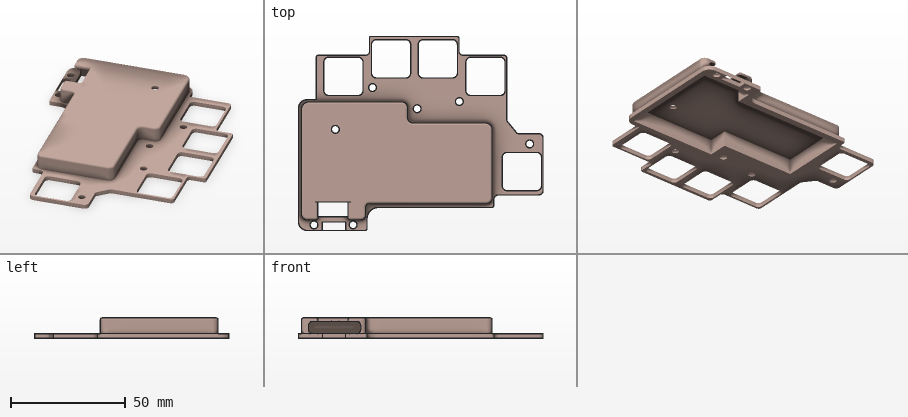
import cadquery as cq

LENGTH = 106.91
DEPTH = 84.79
HEIGHT = 9.0
PLATE_THICKNESS = 2.0

FOOT_RIGHT = 30.07
FRONT_EDGE = 10.05
BODY_RIGHT = 85.4
EAR_FRONT = 15.55
EAR_BACK = 42.4
EAR_SLOPE_START = 95.6
EAR_SLOPE_END = 47.9
SHOULDER_LEFT = 7.8
SHOULDER_RIGHT = 91.1
SHOULDER_BACK = 76.65
TOWER_LEFT = 31.05
TOWER_RIGHT = 70.2
BODY_BACK = 57.25

HOUSING_LEFT = 1.35
HOUSING_FRONT = 4.65
HOUSING_STEP_FRONT = 11.73
HOUSING_BACK = 56.15
HOUSING_STEP_BACK = 46.9
HOUSING_RIGHT = 84.65
HOUSING_STEP_LEFT = 29.4
HOUSING_STEP_RIGHT = 47.7
WALL = 1.5
ROOF = 1.6
CEILING = HEIGHT - ROOF
TOP_FILLET = 1.0

NOTCH_LEFT = 8.58
NOTCH_RIGHT = 21.7
NOTCH_BACK = 12.45
WINDOW_LEFT = 4.4
WINDOW_RIGHT = 27.3
WINDOW_FILLET = 2.0

SLOT_LEFT = 10.5
SLOT_RIGHT = 20.65
SLOT_BACK = 3.7
WEB_THICKNESS = 0.1

KEY_LENGTH = 17.0
KEY_DEPTH = 16.6
KEY_FILLET = 2.0
SHOULDER_KEY_FRONT = 59.05
TOWER_KEY_FRONT = 66.7
KEY_CORNERS = [
    (11.2, SHOULDER_KEY_FRONT),
    (32.0, TOWER_KEY_FRONT),
    (52.4, TOWER_KEY_FRONT),
    (73.2, SHOULDER_KEY_FRONT),
    (89.1, 17.5),
]

HOLE_DIAMETER = 3.3
FOOT_HOLE_Y = 2.5
HOLE_CENTRES = [
    (32.4, 62.45),
    (51.9, 53.2),
    (70.3, 56.35),
    (101.0, 37.85),
    (16.2, 44.2),
    (6.85, FOOT_HOLE_Y),
    (23.95, FOOT_HOLE_Y),
]

PLATE_CORNERS = [
    (0, 0, 4.0),
    (FOOT_RIGHT, 0, 1.0),
    (FOOT_RIGHT, FRONT_EDGE, 4.85),
    (BODY_RIGHT, FRONT_EDGE, 1.0),
    (BODY_RIGHT, EAR_FRONT, 2.0),
    (LENGTH, EAR_FRONT, 2.0),
    (LENGTH, EAR_BACK, 2.0),
    (EAR_SLOPE_START, EAR_BACK, 1.0),
    (SHOULDER_RIGHT, EAR_SLOPE_END, 1.0),
    (SHOULDER_RIGHT, SHOULDER_BACK, 1.5),
    (TOWER_RIGHT, SHOULDER_BACK, 1.5),
    (TOWER_RIGHT, DEPTH, 1.0),
    (TOWER_LEFT, DEPTH, 0.6),
    (TOWER_LEFT, SHOULDER_BACK, 1.5),
    (SHOULDER_LEFT, SHOULDER_BACK, 1.2),
    (SHOULDER_LEFT, BODY_BACK, 0),
    (0, BODY_BACK, 4.0),
]
HOUSING_CORNERS = [
    (HOUSING_LEFT, HOUSING_FRONT, 2.7),
    (HOUSING_STEP_LEFT, HOUSING_FRONT, 2.0),
    (HOUSING_STEP_LEFT, HOUSING_STEP_FRONT, 1.7),
    (HOUSING_RIGHT, HOUSING_STEP_FRONT, 2.5),
    (HOUSING_RIGHT, HOUSING_STEP_BACK, 2.7),
    (HOUSING_STEP_RIGHT, HOUSING_STEP_BACK, 2.5),
    (HOUSING_STEP_RIGHT, HOUSING_BACK, 2.5),
    (HOUSING_LEFT, HOUSING_BACK, 3.4),
]


def rounded_prism(corners, height):
    """Prism standing on z = 0 whose upright edges are rounded one by one."""
    prism = cq.Workplane("XY").polyline([(x, y) for x, y, _ in corners]).close().extrude(height)
    for x, y, radius in corners:
        if radius > 0:
            corner = cq.selectors.NearestToPointSelector((x, y, height / 2))
            prism = prism.edges("|Z").edges(corner).fillet(radius)
    return prism


def block(x_range, y_range, z_range):
    """Box between two limits along each axis."""
    sizes = [high - low for low, high in (x_range, y_range, z_range)]
    corner = (x_range[0], y_range[0], z_range[0])
    return cq.Workplane("XY").box(*sizes, centered=False).translate(corner)


def make_housing():
    """Solid housing, notched at the front of its roof and rounded along its top edges."""
    housing = rounded_prism(HOUSING_CORNERS, HEIGHT)
    notch = block((NOTCH_LEFT, NOTCH_RIGHT), (0, NOTCH_BACK), (CEILING, HEIGHT))
    housing = housing.cut(notch)
    notch_centre_x = (NOTCH_LEFT + NOTCH_RIGHT) / 2
    notch_back_edge = cq.selectors.NearestToPointSelector((notch_centre_x, NOTCH_BACK, HEIGHT))
    top_edges = cq.selectors.DirectionMinMaxSelector(cq.Vector(0, 0, 1))
    notch_mouth = cq.selectors.BoxSelector(
        (NOTCH_LEFT - TOP_FILLET, HOUSING_FRONT - TOP_FILLET, CEILING),
        (NOTCH_RIGHT + TOP_FILLET, HOUSING_FRONT + TOP_FILLET, HEIGHT),
    )
    upright_mouth_edges = notch_mouth & cq.selectors.ParallelDirSelector(cq.Vector(0, 0, 1))
    rounded_edges = (top_edges - notch_back_edge) + upright_mouth_edges
    return housing.edges(rounded_edges).fillet(TOP_FILLET)


def make_pocket():
    """Square-cornered space inside the housing, open through the underside of the plate."""
    outline = cq.Workplane("XY").polyline([(x, y) for x, y, _ in HOUSING_CORNERS]).close()
    return outline.offset2D(-WALL, "intersection").extrude(CEILING)


def make_window():
    """Rounded opening through the front wall of the housing, above the plate."""
    window = block(
        (WINDOW_LEFT, WINDOW_RIGHT),
        (HOUSING_FRONT, HOUSING_FRONT + WALL),
        (PLATE_THICKNESS, CEILING),
    )
    return window.edges("|Y").fillet(WINDOW_FILLET)


def make_slot():
    """Slot through the plate, leaving only the web along its front edge."""
    return block((SLOT_LEFT, SLOT_RIGHT), (WEB_THICKNESS, SLOT_BACK), (0, PLATE_THICKNESS))


def make_key_openings():
    """Nearly square openings with rounded corners through the plate."""
    centres = [(x + KEY_LENGTH / 2, y + KEY_DEPTH / 2) for x, y in KEY_CORNERS]
    openings = cq.Workplane("XY").pushPoints(centres).rect(KEY_LENGTH, KEY_DEPTH)
    return openings.extrude(PLATE_THICKNESS).edges("|Z").fillet(KEY_FILLET)


def make_holes():
    """Screw holes through the plate and the roof."""
    return cq.Workplane("XY").pushPoints(HOLE_CENTRES).circle(HOLE_DIAMETER / 2).extrude(HEIGHT)


result = rounded_prism(PLATE_CORNERS, PLATE_THICKNESS).union(make_housing())
for opening in (make_pocket(), make_window(), make_slot(), make_key_openings(), make_holes()):
    result = result.cut(opening)